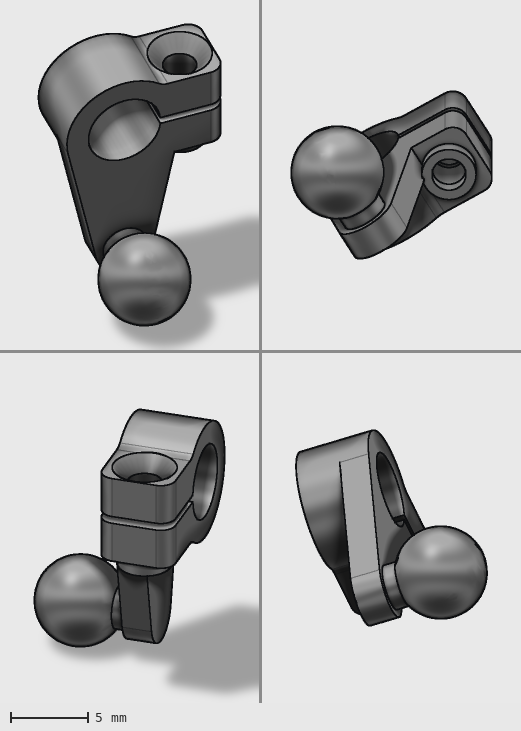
import cadquery as cq
import math

ring_diameter = 8.0
ring_radius = ring_diameter / 2
bore_diameter = 5.0
clamp_width = 5.0

lug_end = 7.0
lug_height = 6.0
lug_half_height = lug_height / 2
lug_corner_radius = 1.0
lug_blend_radius = 1.0
slot_height = 0.5

screw_x = clamp_width / 2
screw_y = 4.83
screw_hole_diameter = 2.2
countersink_diameter = 4.2
countersink_angle = 90

bush_diameter = 3.5
bush_height = 1.0

arm_thickness = 2.0
arm_length = 10.0
arm_end_radius = 2.0

ball_diameter = 6.0
ball_center_x = 8.48
neck_diameter = 3.0


def make_lugs():
    """Lug block that runs into the ring with concave blends above and below."""
    blend_center_z = lug_half_height + lug_blend_radius
    blend_center_distance = ring_radius + lug_blend_radius
    blend_center_y = math.sqrt(blend_center_distance**2 - blend_center_z**2)
    ring_share = ring_radius / blend_center_distance
    ring_touch = (blend_center_y * ring_share, blend_center_z * ring_share)
    blend_angle = math.atan2(-blend_center_z, -blend_center_y)
    middle_angle = (blend_angle - math.pi / 2) / 2
    blend_middle = (
        blend_center_y + lug_blend_radius * math.cos(middle_angle),
        blend_center_z + lug_blend_radius * math.sin(middle_angle),
    )
    lugs = (
        cq.Workplane("YZ")
        .moveTo(lug_end, -lug_half_height)
        .lineTo(lug_end, lug_half_height)
        .lineTo(blend_center_y, lug_half_height)
        .threePointArc(blend_middle, ring_touch)
        .lineTo(0, 0)
        .lineTo(ring_touch[0], -ring_touch[1])
        .threePointArc((blend_middle[0], -blend_middle[1]), (blend_center_y, -lug_half_height))
        .close()
        .extrude(clamp_width)
    )
    return lugs.edges("|Z and >Y").fillet(lug_corner_radius)


def make_arm():
    """Tapered arm whose straight sides are tangent to the ring and to the rounded end."""
    taper_sine = (ring_radius - arm_end_radius) / arm_length
    taper_cosine = math.sqrt(1 - taper_sine**2)
    top_y = ring_radius * taper_cosine
    top_z = -ring_radius * taper_sine
    end_y = arm_end_radius * taper_cosine
    end_z = -arm_length - arm_end_radius * taper_sine
    return (
        cq.Workplane("YZ", origin=(clamp_width - arm_thickness, 0, 0))
        .moveTo(-top_y, top_z)
        .lineTo(-end_y, end_z)
        .threePointArc((0, -arm_length - arm_end_radius), (end_y, end_z))
        .lineTo(top_y, top_z)
        .lineTo(0, 0)
        .close()
        .extrude(arm_thickness)
    )


def make_bush_blank():
    """Solid cylinder hanging from the underside of the lower lug."""
    return (
        cq.Workplane("XY", origin=(screw_x, screw_y, -lug_half_height))
        .circle(bush_diameter / 2)
        .extrude(-bush_height)
    )


def make_screw_hole():
    """Straight hole through both lugs and the bush."""
    hole_depth = lug_height + bush_height
    return (
        cq.Workplane("XY", origin=(screw_x, screw_y, lug_half_height))
        .circle(screw_hole_diameter / 2)
        .extrude(-hole_depth)
    )


def make_countersink():
    """Conical screw seat, carried up as a cylinder through the lug blend."""
    seat_radius = countersink_diameter / 2
    hole_radius = screw_hole_diameter / 2
    seat_depth = (seat_radius - hole_radius) / math.tan(math.radians(countersink_angle / 2))
    cone = cq.Solid.makeCone(
        seat_radius,
        hole_radius,
        seat_depth,
        pnt=cq.Vector(screw_x, screw_y, lug_half_height),
        dir=cq.Vector(0, 0, -1),
    )
    clearance = (
        cq.Workplane("XY", origin=(screw_x, screw_y, lug_half_height))
        .circle(seat_radius)
        .extrude(ring_radius - lug_half_height)
    )
    return clearance.union(cq.Workplane(cone))


def make_clamp():
    """Split clamp ring, lugs and arm in one piece."""
    ring = cq.Workplane("YZ").circle(ring_radius).extrude(clamp_width)
    bore = cq.Workplane("YZ").circle(bore_diameter / 2).extrude(clamp_width)
    slot = cq.Workplane("XY").box(clamp_width, lug_end, slot_height, centered=(False, False, True))
    clamp = ring.union(make_lugs()).union(make_arm())
    clamp = clamp.cut(bore).cut(slot)
    clamp = clamp.cut(make_screw_hole()).cut(make_countersink())
    return clamp.cut(make_bush_blank())


def make_bush():
    """Bush with the screw hole through it."""
    return make_bush_blank().cut(make_screw_hole())


def make_ball_stud():
    """Ball and its neck, standing on the +X face of the arm."""
    neck = (
        cq.Workplane("YZ", origin=(clamp_width, 0, -arm_length))
        .circle(neck_diameter / 2)
        .extrude(ball_center_x - clamp_width)
    )
    ball = cq.Workplane("XY", origin=(ball_center_x, 0, -arm_length)).sphere(ball_diameter / 2)
    return neck.union(ball)


clamp = make_clamp()
bush = make_bush()
ball_stud = make_ball_stud()

result = cq.Compound.makeCompound([clamp.val(), bush.val(), ball_stud.val()])